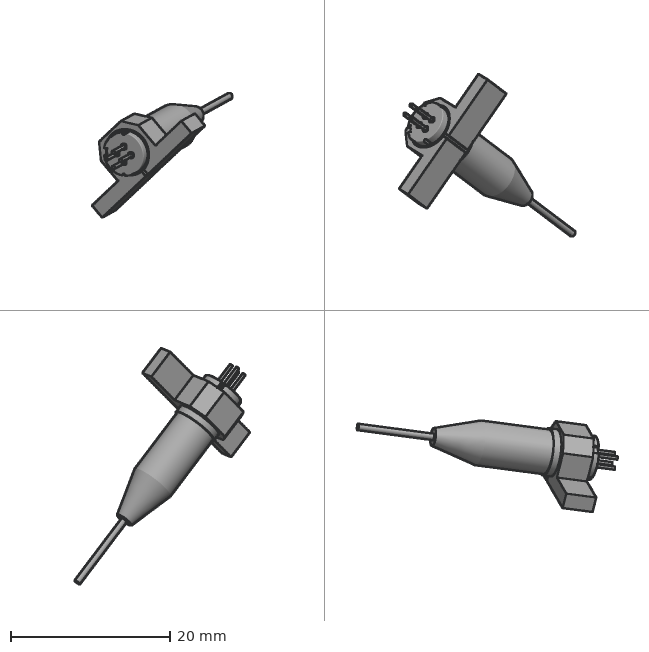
import cadquery as cq
import math


TOTAL_LENGTH = 34.1

BRACKET_DEPTH = 4.0
BORE_DIA = 6.0
FOOT_LENGTH = 17.55
FOOT_THICKNESS = 2.0
FOOT_BASE = -3.82
BLOCK_HALF_WIDTH = 3.68
BLOCK_TOP = 3.45
BLOCK_TOP_HALF_WIDTH = 2.15
BLOCK_SHOULDER = 1.55
SLIT_WIDTH = 0.4
BRACKET_TILT = 45.0

SLEEVE_DIA = BORE_DIA
SLEEVE_PROTRUSION = 1.0

BARREL_DIA = 5.7
BARREL_EXPOSED = 9.0
NOSE_LENGTH = 6.0
NOSE_TIP_DIA = 2.3
FIBRE_DIA = 0.85

HEADER_DIA = 5.6
HEADER_HEIGHT = 1.13
HEADER_EDGE = 0.1
KEY_NOTCH_WIDTH = 1.0
KEY_NOTCH_DEPTH = 0.5
LEAD_COUNT = 4
LEAD_DIA = 0.45
LEAD_LENGTH = 3.0
LEAD_OFFSET = 1.0
SEAL_DIA = 0.8
SEAL_DEPTH = 0.1
MARK_NOTCH_SIDE = 0.4
MARK_NOTCH_TURN = 45.0

SLEEVE_END = BRACKET_DEPTH + SLEEVE_PROTRUSION
NOSE_START = SLEEVE_END + BARREL_EXPOSED
NOSE_END = NOSE_START + NOSE_LENGTH
LEAD_END = -HEADER_HEIGHT - LEAD_LENGTH
FIBRE_END = TOTAL_LENGTH + LEAD_END


def plane_at(y):
    """Plane across the axis whose normal is +Y; its local x is X and local y is -Z."""
    return cq.Workplane(cq.Plane(origin=(0, y, 0), xDir=(1, 0, 0), normal=(0, 1, 0)))


def rod(diameter, start, end):
    return plane_at(start).circle(diameter / 2).extrude(end - start)


def make_bracket():
    foot_top = FOOT_BASE + FOOT_THICKNESS
    right_side = [
        (FOOT_LENGTH / 2, FOOT_BASE),
        (FOOT_LENGTH / 2, foot_top),
        (BLOCK_HALF_WIDTH, foot_top),
        (BLOCK_HALF_WIDTH, BLOCK_SHOULDER),
        (BLOCK_TOP_HALF_WIDTH, BLOCK_TOP),
    ]
    left_side = [(-across, up) for across, up in reversed(right_side)]
    body = cq.Workplane("XZ").polyline(right_side + left_side).close().extrude(-BRACKET_DEPTH)
    slit = cq.Workplane("XY").box(SLIT_WIDTH, BRACKET_DEPTH, -FOOT_BASE, centered=(True, False, False))
    slit = slit.translate((0, 0, FOOT_BASE))
    body = body.cut(slit).cut(rod(BORE_DIA, 0, BRACKET_DEPTH))
    return body.rotate((0, 0, 0), (0, 1, 0), -BRACKET_TILT)


def make_sleeve():
    return rod(SLEEVE_DIA, 0, SLEEVE_END).cut(rod(BARREL_DIA, 0, SLEEVE_END))


def make_boot():
    barrel = rod(BARREL_DIA, 0, NOSE_START)
    nose = (
        plane_at(NOSE_START)
        .circle(BARREL_DIA / 2)
        .workplane(offset=NOSE_LENGTH)
        .circle(NOSE_TIP_DIA / 2)
        .loft(ruled=True)
    )
    fibre = rod(FIBRE_DIA, NOSE_END, FIBRE_END)
    return barrel.union(nose).union(fibre)


def cut_key_notch(disc):
    """Square notch in the rim on the -X side."""
    key = cq.Workplane("XY").box(2 * KEY_NOTCH_DEPTH, 2 * HEADER_HEIGHT, KEY_NOTCH_WIDTH)
    return disc.cut(key.translate((-HEADER_DIA / 2, -HEADER_HEIGHT, 0)))


def cut_mark_notches(disc):
    """V-shaped notches in the rim at the top and the bottom."""
    mark = cq.Workplane("XY").box(MARK_NOTCH_SIDE, 2 * HEADER_HEIGHT, MARK_NOTCH_SIDE)
    mark = mark.rotate((0, 0, 0), (0, 1, 0), MARK_NOTCH_TURN)
    for side in (-1, 1):
        disc = disc.cut(mark.translate((0, -HEADER_HEIGHT, side * HEADER_DIA / 2)))
    return disc


def add_leads(disc):
    """Round leads, each standing in a shallow seal recess in the front face."""
    seal = rod(SEAL_DIA, -HEADER_HEIGHT, SEAL_DEPTH - HEADER_HEIGHT)
    lead = rod(LEAD_DIA, LEAD_END, 0)
    for index in range(LEAD_COUNT):
        angle = 2 * math.pi * index / LEAD_COUNT
        place = (LEAD_OFFSET * math.cos(angle), 0, LEAD_OFFSET * math.sin(angle))
        disc = disc.cut(seal.translate(place)).union(lead.translate(place))
    return disc


def make_header():
    disc = rod(HEADER_DIA, -HEADER_HEIGHT, 0).faces("<Y").edges().fillet(HEADER_EDGE)
    return add_leads(cut_mark_notches(cut_key_notch(disc)))


bracket = make_bracket()
sleeve = make_sleeve()
boot = make_boot()
header = make_header()

result = cq.Compound.makeCompound([bracket.val(), sleeve.val(), boot.val(), header.val()])